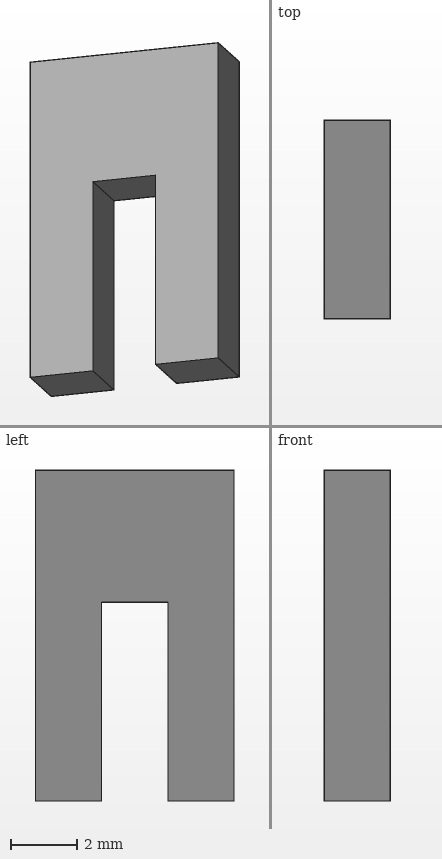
import cadquery as cq

thickness = 2.0
width = 6.0
height = 10.0

slot_width = 2.0
slot_height = 6.0


def make_plate():
    """Upright rectangular plate, centred in X and Y, standing on Z = 0."""
    return cq.Workplane("XY").box(thickness, width, height, centered=(True, True, False))


def make_slot():
    """Block that cuts through the full thickness and leaves two legs."""
    return cq.Workplane("XY").box(thickness, slot_width, slot_height, centered=(True, True, False))


result = make_plate().cut(make_slot())